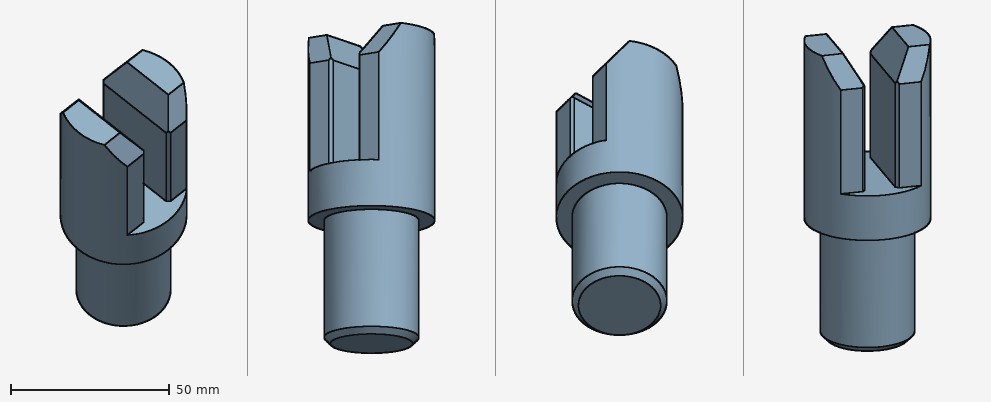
import cadquery as cq
import math

total_height = 100.0
body_diameter = 40.0
shank_diameter = 30.0
shank_length = 40.0
shank_chamfer = 2.0
slot_floor = 55.0
slot_width = 10.0
prong_width = 30.0
lead_in_height = 10.0
lead_in_angle = 30.0
corner_chamfer = 1.0

prong_height = total_height - slot_floor
lead_in_start = total_height - lead_in_height
lead_in_run = lead_in_height * math.tan(math.radians(lead_in_angle))


def make_shank():
    """Plain round shank with a chamfered lower end."""
    shank = cq.Workplane("XY").circle(shank_diameter / 2).extrude(shank_length)
    return shank.faces("<Z").chamfer(shank_chamfer)


def make_collar():
    """Full-diameter disc between the shank and the prongs."""
    collar_height = slot_floor - shank_length
    return (
        cq.Workplane("XY", origin=(0, 0, shank_length))
        .circle(body_diameter / 2)
        .extrude(collar_height)
    )


def make_prong(side):
    """One prong on the +Y (side=1) or -Y (side=-1) side of the slot."""
    half_slot = slot_width / 2
    half_width = prong_width / 2
    outer_y = body_diameter / 2

    block = (
        cq.Workplane("XY", origin=(0, 0, slot_floor))
        .moveTo(-half_width, side * outer_y)
        .lineTo(-half_width, side * (half_slot + corner_chamfer))
        .lineTo(-half_width + corner_chamfer, side * half_slot)
        .lineTo(half_width - corner_chamfer, side * half_slot)
        .lineTo(half_width, side * (half_slot + corner_chamfer))
        .lineTo(half_width, side * outer_y)
        .close()
        .extrude(prong_height)
    )

    flat_envelope = (
        cq.Workplane("XZ")
        .moveTo(-half_width, slot_floor)
        .lineTo(half_width, slot_floor)
        .lineTo(half_width, lead_in_start)
        .lineTo(half_width - lead_in_run, total_height)
        .lineTo(-half_width + lead_in_run, total_height)
        .lineTo(-half_width, lead_in_start)
        .close()
        .extrude(outer_y, both=True)
    )

    slot_envelope = (
        cq.Workplane("YZ")
        .moveTo(side * half_slot, slot_floor)
        .lineTo(side * outer_y, slot_floor)
        .lineTo(side * outer_y, total_height)
        .lineTo(side * (half_slot + lead_in_run), total_height)
        .lineTo(side * half_slot, lead_in_start)
        .close()
        .extrude(half_width, both=True)
    )

    round_envelope = (
        cq.Workplane("XY", origin=(0, 0, slot_floor))
        .circle(body_diameter / 2)
        .extrude(prong_height)
    )
    return block.intersect(flat_envelope).intersect(slot_envelope).intersect(round_envelope)


result = make_shank().union(make_collar())
for side in (-1, 1):
    result = result.union(make_prong(side))
result = result.clean()